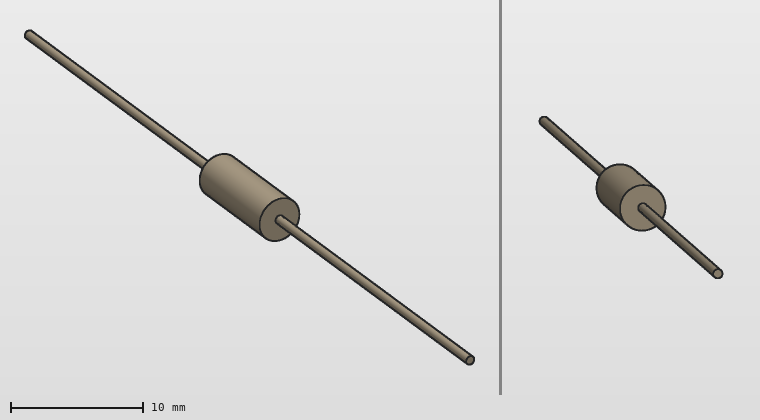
import cadquery as cq

overall_length = 65.0
body_length = 8.85
body_diameter = 3.5
lead_diameter = 0.7

lead_length = (overall_length - body_length) / 2


def x_cylinder(start_x, length, diameter):
    """Solid cylinder on the X axis, running from start_x toward +X."""
    return cq.Workplane("YZ", origin=(start_x, 0, 0)).circle(diameter / 2).extrude(length)


def make_body():
    """Cylindrical body centred on the origin."""
    return x_cylinder(-body_length / 2, body_length, body_diameter)


def make_lead(start_x):
    """Straight round wire that touches an end face of the body."""
    return x_cylinder(start_x, lead_length, lead_diameter)


body = make_body()
lead_starts = (-overall_length / 2, body_length / 2)
leads = [make_lead(start_x) for start_x in lead_starts]

result = cq.Compound.makeCompound([body.val(), *[lead.val() for lead in leads]])